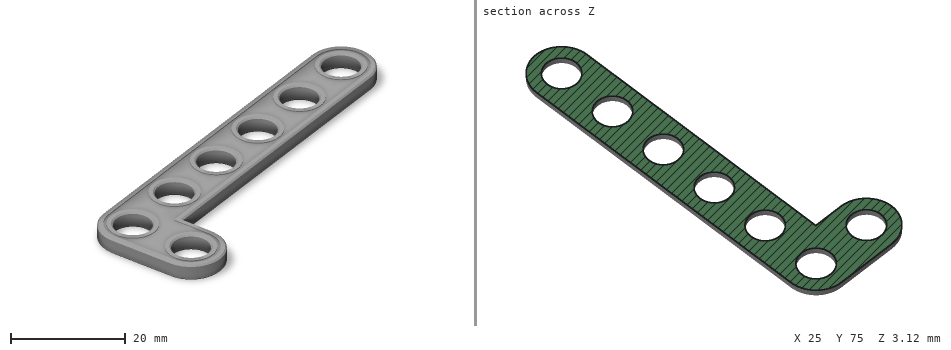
import cadquery as cq

pitch = 12.5
thickness = pitch / 4
long_arm_holes = 6
short_arm_holes = 2
hole_diameter = 7.0
ring_diameter = 9.2
rim_width = 1.1
recess_depth = 0.2
edge_chamfer = 0.3
hole_chamfer = 0.3

arm_half_width = pitch / 2
long_arm_reach = (long_arm_holes - 1) * pitch
short_arm_reach = (short_arm_holes - 1) * pitch

long_arm_centers = [(0, i * pitch) for i in range(long_arm_holes)]
short_arm_centers = [(i * pitch, 0) for i in range(1, short_arm_holes)]
hole_centers = long_arm_centers + short_arm_centers


def l_shape(half_width, base, height):
    """L-shaped prism with round ends, standing on the plane z = base."""
    width = 2 * half_width
    plane = cq.Workplane("XY").workplane(offset=base)
    long_arm = (
        plane.center(0, long_arm_reach / 2)
        .slot2D(long_arm_reach + width, width, 90)
        .extrude(height)
    )
    short_arm = (
        plane.center(short_arm_reach / 2, 0)
        .slot2D(short_arm_reach + width, width)
        .extrude(height)
    )
    return long_arm.union(short_arm).clean()


def cylinders(diameter, base, height):
    """One cylinder on every hole centre, standing on the plane z = base."""
    return (
        cq.Workplane("XY")
        .workplane(offset=base)
        .pushPoints(hole_centers)
        .circle(diameter / 2)
        .extrude(height)
    )


def plate():
    """Flat L-shaped body with chamfered outer edges and plain through holes."""
    body = l_shape(arm_half_width, 0, thickness)
    body = body.faces("<Z or >Z").chamfer(edge_chamfer)
    return body.cut(cylinders(hole_diameter, 0, thickness))


def chamfer_hole_mouths(body):
    """Bevel both mouths of every hole."""
    for x, y in hole_centers:
        for mouth_z, inward in ((0, 1), (thickness, -1)):
            cone = cq.Solid.makeCone(
                hole_diameter / 2 + hole_chamfer,
                hole_diameter / 2,
                hole_chamfer,
                cq.Vector(x, y, mouth_z),
                cq.Vector(0, 0, inward),
            )
            body = body.cut(cq.Workplane(cone))
    return body


def recess():
    """Shallow top pocket inside the rim that leaves a ring around each hole."""
    floor = thickness - recess_depth
    pocket = l_shape(arm_half_width - rim_width, floor, recess_depth)
    return pocket.cut(cylinders(ring_diameter, floor, recess_depth))


result = chamfer_hole_mouths(plate()).cut(recess())